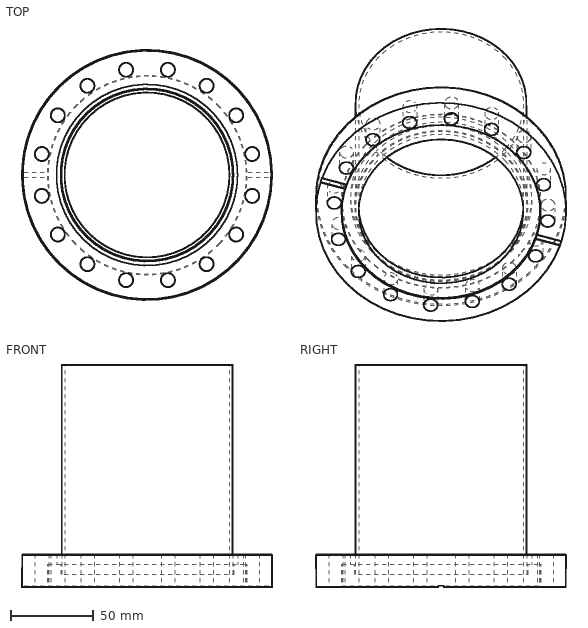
import cadquery as cq

TOTAL_HEIGHT = 135.0

RING_DIAMETER = 152.0
RING_HEIGHT = 20.0
RING_BORE_DIAMETER = 110.0
RECESS_DIAMETER = 121.1
RIM_CHAMFER = 0.6
BOLT_COUNT = 16
BOLT_HOLE_DIAMETER = 8.4
BOLT_CIRCLE_DIAMETER = 130.3
GROOVE_WIDTH = 3.0
GROOVE_DEPTH = 0.8

FERRULE_DIAMETER = 120.4
FERRULE_TOP = 13.8
FERRULE_BOTTOM = GROOVE_DEPTH
SOCKET_DIAMETER = 105.2
SOCKET_DEPTH = 6.1

TUBE_OUTER_DIAMETER = 104.0
TUBE_INNER_DIAMETER = 100.0
TUBE_BOTTOM = FERRULE_TOP - SOCKET_DEPTH


def cylinder(diameter, bottom, top):
    """Upright cylinder on the Z axis between two heights."""
    return cq.Workplane("XY").workplane(offset=bottom).circle(diameter / 2).extrude(top - bottom)


def make_bolt_ring():
    ring = cylinder(RING_DIAMETER, 0, RING_HEIGHT).faces(">Z").edges().chamfer(RIM_CHAMFER)
    ring = ring.cut(cylinder(RING_BORE_DIAMETER, 0, RING_HEIGHT))
    ring = ring.cut(cylinder(RECESS_DIAMETER, 0, FERRULE_TOP))

    half_pitch = 360 / BOLT_COUNT / 2
    bolt_holes = (
        cq.Workplane("XY")
        .polarArray(BOLT_CIRCLE_DIAMETER / 2, half_pitch, 360, BOLT_COUNT)
        .circle(BOLT_HOLE_DIAMETER / 2)
        .extrude(RING_HEIGHT)
    )
    ring = ring.cut(bolt_holes)

    groove = cq.Workplane("XY").rect(RING_DIAMETER, GROOVE_WIDTH).extrude(GROOVE_DEPTH)
    return ring.cut(groove)


def make_ferrule():
    ferrule = cylinder(FERRULE_DIAMETER, FERRULE_BOTTOM, FERRULE_TOP)
    ferrule = ferrule.cut(cylinder(TUBE_INNER_DIAMETER, FERRULE_BOTTOM, FERRULE_TOP))
    return ferrule.cut(cylinder(SOCKET_DIAMETER, TUBE_BOTTOM, FERRULE_TOP))


def make_tube():
    tube = cylinder(TUBE_OUTER_DIAMETER, TUBE_BOTTOM, TOTAL_HEIGHT)
    return tube.cut(cylinder(TUBE_INNER_DIAMETER, TUBE_BOTTOM, TOTAL_HEIGHT))


bolt_ring = make_bolt_ring()
ferrule = make_ferrule()
tube = make_tube()

bodies = [bolt_ring, ferrule, tube]
result = cq.Compound.makeCompound([body.solids().val() for body in bodies])